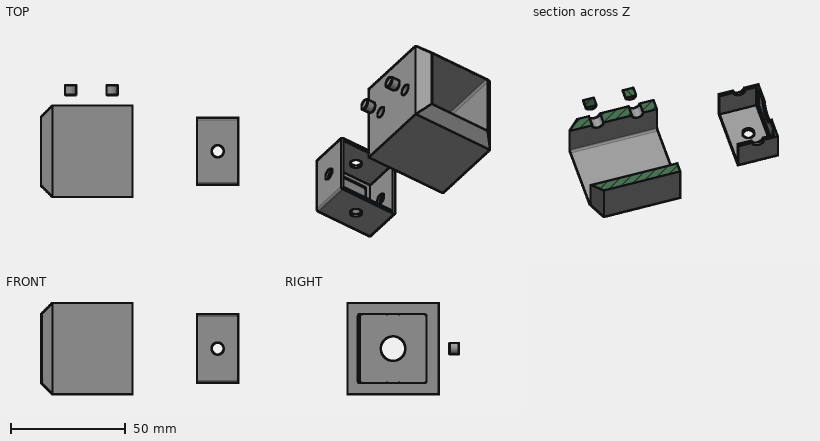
import cadquery as cq

overall_length = 86.2
housing_size = 40.0
housing_chamfer = 5.0
bore_size = housing_size - 2 * housing_chamfer
bore_offset_y = -0.35
bore_corner_radius = 1.0

screw_diameter = 5.0
screw_length = 4.5
screw_tip_chamfer = 0.4
screw_head_chamfer = 0.3
screw_start_y = 24.4
screw_positions_x = (12.9, 31.05)
screw_hole_diameter = screw_diameter

cap_length = 18.2
cap_width = 29.3
cap_height = bore_size
cap_wall = 1.5
cap_end_wall = cap_wall
cap_corner_radius = 1.0
cross_hole_diameter = 5.2
recess_size = 22.1
recess_depth = 0.5
recess_corner_radius = 1.0
end_hole_diameter = 10.6

cap_start_x = overall_length - cap_length
cap_middle_x = cap_start_x + cap_length / 2
cavity_end_x = overall_length - cap_end_wall


def bar_along_x(start_x, length, width, height):
    """Rectangular bar on the X axis: width along Y, height along Z."""
    return cq.Workplane("YZ", origin=(start_x, 0, 0)).rect(width, height).extrude(length)


def cylinder_along_y(x, start_y, length, diameter):
    """Cylinder growing toward +Y from start_y, at mid-height."""
    return cq.Workplane("XZ", origin=(x, start_y, 0)).circle(diameter / 2).extrude(-length)


def make_housing():
    block = bar_along_x(0, housing_size, housing_size, housing_size)
    block = block.faces("<X").chamfer(housing_chamfer)
    bore = bar_along_x(0, housing_size, bore_size, bore_size).translate((0, bore_offset_y, 0))
    housing = block.cut(bore.edges("|X").fillet(bore_corner_radius))
    for x in screw_positions_x:
        housing = housing.cut(cylinder_along_y(x, 0, housing_size, screw_hole_diameter))
    return housing


def make_cap():
    cap = bar_along_x(cap_start_x, cap_length, cap_width, cap_height)
    cap = cap.edges("|X").fillet(cap_corner_radius)

    cavity_width = cap_width - 2 * cap_wall
    cavity_height = cap_height - 2 * cap_wall
    cap = cap.cut(bar_along_x(cap_start_x, cap_length - cap_end_wall, cavity_width, cavity_height))

    recess = bar_along_x(cavity_end_x, recess_depth, recess_size, recess_size)
    cap = cap.cut(recess.edges("|X").fillet(recess_corner_radius))

    end_hole = cq.Workplane("YZ", origin=(cavity_end_x, 0, 0))
    cap = cap.cut(end_hole.circle(end_hole_diameter / 2).extrude(cap_end_wall))

    cap = cap.cut(cylinder_along_y(cap_middle_x, -cap_width / 2, cap_width, cross_hole_diameter))
    upright_hole = cq.Workplane("XY", origin=(cap_middle_x, 0, -cap_height / 2))
    return cap.cut(upright_hole.circle(cross_hole_diameter / 2).extrude(cap_height))


def make_set_screw(x):
    screw = cylinder_along_y(x, screw_start_y, screw_length, screw_diameter)
    screw = screw.faces("<Y").chamfer(screw_tip_chamfer)
    return screw.faces(">Y").chamfer(screw_head_chamfer)


housing = make_housing()
cap = make_cap()
set_screws = [make_set_screw(x).val() for x in screw_positions_x]

result = cq.Compound.makeCompound([housing.val(), cap.val(), *set_screws])